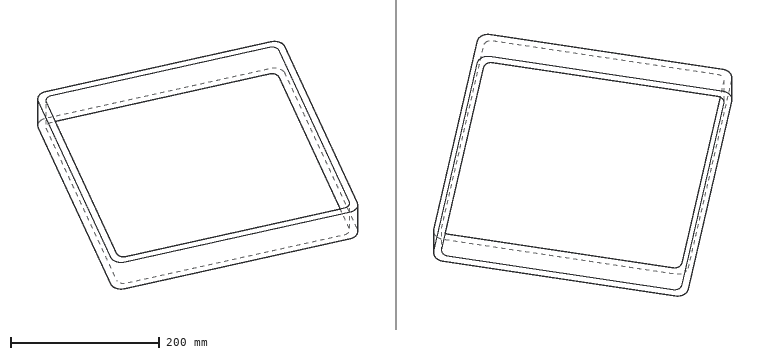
import cadquery as cq

side = 350.0
height = 50.0
opening_side = 330.0
outer_radius = 15.0
inner_radius = 10.0


def rounded_block(width, corner_radius):
    """Square block on the XY plane with rounded upright edges."""
    return cq.Workplane("XY").rect(width, width).extrude(height).edges("|Z").fillet(corner_radius)


result = rounded_block(side, outer_radius).cut(rounded_block(opening_side, inner_radius))